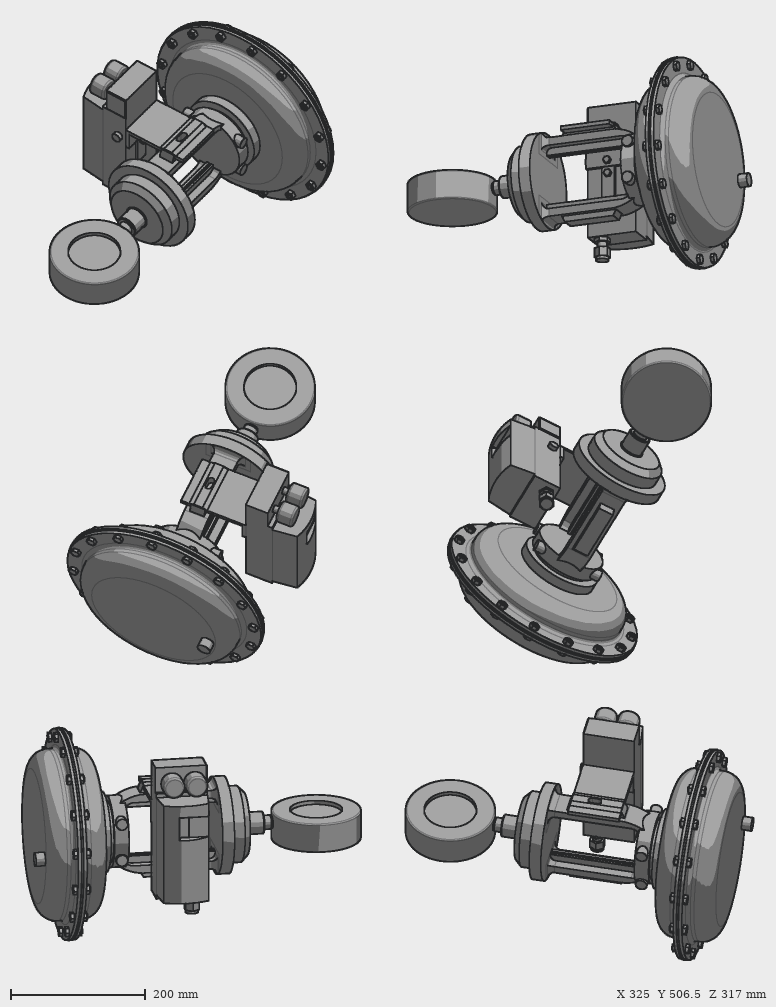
import cadquery as cq
import math


flange_radius = 158.5
casing_radius = 157.5
diaphragm_half = 1.5
flange_half = 6.5
dome_radius = 128.5
dome_end = 45.5
dome_round = 27.5
dome_flare = 6.0
stub_radius = 10.0
stub_length = 14.0
stub_x, stub_z = -88.0, -6.0

bolt_count = 16
bolt_circle_radius = 147.5
bolt_first_angle = -7.4
bolt_hex = 14.5
bolt_head_height = 5.0
nut_height = 6.0
stud_radius = 3.8
stud_reach = 1.5

neck_radius = 60.5
neck_end = -60.5
groove_radius = 46.5
ring_start = -67.0
ring_radius = 53.5
ring_end = -88.5
pin_radius = 8.5
pin_y = -78.0
pin_z = 28.5

leg_half_width = 19.5
leg_inner = 38.5
leg_ledge = 49.5
leg_outer = 62.0
rib_half_width = 6.0
rib_groove_half_width = 1.5
rib_groove_depth = 1.5
leg_straight_start = -111.5
outer_bend = (-98.5, 59.0)
outer_bend_end = 48.0
inner_bend = (-94.0, 47.5)
inner_bend_start = 43.5
inner_bend_end = -101.5
leg_flare = 8.5
foot_setback = 0.5
foot_depth = 12.5

pad_half_width = 11.5
lower_pad_height = 9.0
pad_slope = 5.5
overlap = 1.5
bracket_start, bracket_end = -117.5, -195.0
bracket_thickness = 6.0
bracket_top = 74.0
bracket_right = 28.0
bracket_bottom = 38.0
bead_height = 3.0
bead_half_base = 14.5
bead_half_top = 7.0
slot_length, slot_width = 20.0, 10.0
slot_y = -160.0
clip_end = -12.5
clip_thickness = 4.0
clip_width = 20.5
bracket_bolt_z = 47.0
clip_bolt_z = 27.5
bracket_bolt_hex = 11.0
wall_bolt_height = 5.5
clip_bolt_height = 3.0

lower_flange_radius = 73.0
lower_flange_start, lower_flange_end = -226.5, -244.5
bonnet_radius = 57.5
bonnet_end = -272.5
bonnet_chamfer = 9.5
stem_radius = 16.5
stem_end = -300.0
stem_edge = 1.5
spindle_radius = 10.5
spindle_end = -311.5
spindle_tip_radius = 9.0

dial_radius = 67.0
dial_y = -380.0
dial_z = -6.5
dial_thickness = 45.0
dial_edge = 2.0
dial_recess_radius = 39.0
dial_recess_depth = 6.0

body_left, body_right = -120.5, -77.5
body_start, body_end = -117.5, -194.5
body_bottom, body_top = -68.0, 97.5
cover_bottom, cover_top = -62.0, 91.0
cover_edge_x = -159.0
cover_apex_x = -166.5
cover_front_inset = 4.5
window_bottom, window_top = 39.5, 71.0
window_draft = 18
window_start, window_step, window_end = -146.0, -160.0, -190.0
window_step_depth = 2.0
manifold_left = -113.5
manifold_end = -195.5
manifold_top = 136.0
manifold_edge = 1.5
gauge_radius = 16.0
gauge_z = 114.5
gauge_y = (-140.0, -174.5)
gauge_left, gauge_right = -148.5, -123.0
gauge_edge = 3.0
gauge_stem_radius = 5.5
knob_x, knob_z = -91.0, 53.5
knob_radius = 7.0
knob_end = -201.5

gland_x, gland_y = -90.5, -176.5
gland_hex = 24.0
gland_neck_radius = 7.0
gland_tip_radius = 9.5
gland_collar_end, gland_neck_end, gland_nut_end, gland_tip_end = -74.0, -83.0, -97.5, -102.0


def box(x, y, z):
    """Box spanning the given pair of limits on each axis."""
    size = [abs(b - a) for a, b in (x, y, z)]
    centre = tuple((a + b) / 2 for a, b in (x, y, z))
    return cq.Workplane("XY").box(*size).translate(centre)


def rod_x(radius, x0, x1, y, z):
    return cq.Workplane("YZ", origin=(x0, y, z)).circle(radius).extrude(x1 - x0)


def rod_y(radius, y0, y1, x=0, z=0):
    return cq.Workplane("XZ", origin=(x, y0, z)).circle(radius).extrude(y0 - y1)


def hex_y(across_corners, y0, y1, x, z):
    return cq.Workplane("XZ", origin=(x, y0, z)).polygon(6, across_corners).extrude(y0 - y1)


def hex_x(across_corners, x0, x1, y, z):
    return cq.Workplane("YZ", origin=(x0, y, z)).polygon(6, across_corners).extrude(x1 - x0)


def actuator():
    """Double dome with a flared foot on each side of the clamped flange, turned about Y."""
    corner = 1 - math.sqrt(0.5)
    flare_radius = dome_radius + dome_flare
    flare_end = flange_half + dome_flare
    half = (
        cq.Workplane("XY")
        .lineTo(flange_radius, 0)
        .lineTo(flange_radius, diaphragm_half)
        .lineTo(casing_radius, diaphragm_half)
        .lineTo(casing_radius, flange_half)
        .lineTo(flare_radius, flange_half)
        .threePointArc(
            (dome_radius + corner * dome_flare, flange_half + corner * dome_flare),
            (dome_radius, flare_end),
        )
        .lineTo(dome_radius, dome_end - dome_round)
        .threePointArc(
            (dome_radius - corner * dome_round, dome_end - corner * dome_round),
            (dome_radius - dome_round, dome_end),
        )
        .lineTo(0, dome_end)
        .close()
        .revolve(360, (0, 0, 0), (0, 1, 0))
    )
    stub = rod_y(stub_radius, dome_end + stub_length, 0, stub_x, stub_z)
    return half.union(half.mirror("XZ")).union(stub)


def flange_bolt(angle):
    x = bolt_circle_radius * math.cos(math.radians(angle))
    z = bolt_circle_radius * math.sin(math.radians(angle))
    nut_end = -flange_half - nut_height
    head = hex_y(bolt_hex, flange_half + bolt_head_height, 0, x, z)
    nut = hex_y(bolt_hex, 0, nut_end, x, z)
    stud = rod_y(stud_radius, 0, nut_end - stud_reach, x, z)
    return head.union(nut).union(stud)


def clamp_neck():
    neck = rod_y(neck_radius, 0, neck_end)
    neck = neck.union(rod_y(groove_radius, neck_end, ring_start))
    neck = neck.union(rod_y(ring_radius, ring_start, ring_end))
    for z in (-pin_z, pin_z):
        neck = neck.union(rod_x(pin_radius, -ring_radius, ring_radius, pin_y, z))
    return neck


def leg(pad_height):
    """Leg at +Z: a T-section that bends outward past the ring, with a mounting pad on its outer face."""
    slab = (
        cq.Workplane("YZ")
        .moveTo(lower_flange_start, leg_ledge)
        .lineTo(lower_flange_start, leg_outer)
        .lineTo(leg_straight_start, leg_outer)
        .threePointArc(outer_bend, (pin_y, outer_bend_end))
        .lineTo(pin_y, leg_inner)
        .lineTo(ring_end, inner_bend_start)
        .threePointArc(inner_bend, (inner_bend_end, leg_ledge))
        .close()
        .extrude(leg_half_width, both=True)
    )
    rib = box(
        (-rib_half_width, rib_half_width), (ring_end, lower_flange_start), (leg_inner, leg_ledge + overlap)
    )
    groove = box(
        (-rib_groove_half_width, rib_groove_half_width),
        (ring_end, lower_flange_start),
        (leg_inner, leg_inner + rib_groove_depth),
    )
    rib = rib.cut(groove)
    pad_base = leg_outer - overlap
    pad = (
        cq.Workplane("YZ")
        .moveTo(bracket_start + pad_slope, pad_base)
        .lineTo(bracket_start, leg_outer + pad_height)
        .lineTo(bracket_end, leg_outer + pad_height)
        .lineTo(bracket_end - pad_slope, pad_base)
        .close()
        .extrude(pad_half_width, both=True)
    )
    return slab.union(rib).union(pad).union(leg_foot())


def leg_foot():
    """Rounded flare where a leg meets the lower flange, trimmed to the flange's outline."""
    foot_base = lower_flange_start - foot_depth
    reach = leg_half_width + 2 * leg_flare
    base = box(
        (-reach, reach),
        (lower_flange_start, foot_base),
        (leg_ledge - 2 * leg_flare, leg_outer + 2 * leg_flare),
    )
    root = box(
        (-leg_half_width, leg_half_width),
        (lower_flange_start + 2 * leg_flare, foot_base),
        (leg_ledge, leg_outer),
    )
    corner = (leg_half_width + overlap, lower_flange_start + overlap, leg_outer + overlap)
    opposite = (-leg_half_width - overlap, lower_flange_start - overlap, leg_ledge - overlap)
    edges = cq.selectors.BoxSelector(corner, opposite)
    foot = base.union(root).edges(edges).fillet(leg_flare)
    return foot.intersect(rod_y(lower_flange_radius - foot_setback, ring_end, lower_flange_end))


def yoke():
    lower_leg = leg(lower_pad_height).mirror("XY")
    return leg(bracket_top - leg_outer).union(lower_leg)


def bonnet_and_stem():
    flange = rod_y(lower_flange_radius, lower_flange_start, lower_flange_end)
    bonnet = rod_y(bonnet_radius, lower_flange_end, bonnet_end).faces("<Y").chamfer(bonnet_chamfer)
    stem = rod_y(stem_radius, bonnet_end, stem_end).faces("<Y").chamfer(stem_edge)
    collar = rod_y(stem_radius + stem_edge, bonnet_end, bonnet_end - stem_edge)
    spindle = rod_y(spindle_radius, stem_end, spindle_end)
    tip = rod_y(spindle_tip_radius, spindle_end, dial_y)
    return flange.union(bonnet).union(stem).union(collar).union(spindle).union(tip)


def dial_gauge():
    dial = (
        cq.Workplane("XY", origin=(0, dial_y, dial_z - dial_thickness / 2))
        .circle(dial_radius)
        .extrude(dial_thickness)
        .edges()
        .fillet(dial_edge)
    )
    return dial.faces(">Z").workplane().circle(dial_recess_radius).cutBlind(-dial_recess_depth)


def bracket():
    """Angle plate over the upper pad with a raised bead, an adjusting slot and a hanging clip."""
    across = (body_right, body_right + bracket_thickness)
    along = (bracket_start, bracket_end)
    plate = box((body_right, bracket_right), along, (bracket_top - bracket_thickness, bracket_top))
    wall = box(across, along, (bracket_bottom, bracket_top))
    bead = (
        cq.Workplane("XZ", origin=(0, bracket_start, 0))
        .moveTo(-bead_half_base, bracket_top)
        .lineTo(-bead_half_top, bracket_top + bead_height)
        .lineTo(bead_half_top, bracket_top + bead_height)
        .lineTo(bead_half_base, bracket_top)
        .close()
        .extrude(bracket_start - bracket_end)
    )
    clip_y = (slot_y - clip_width / 2, slot_y + clip_width / 2)
    clip = box((body_right, body_right + clip_thickness), clip_y, (clip_end, bracket_bottom))
    wall_bolt = hex_x(bracket_bolt_hex, body_right, across[1] + wall_bolt_height, slot_y, bracket_bolt_z)
    clip_bolt = hex_x(bracket_bolt_hex, body_right, across[1] + clip_bolt_height, slot_y, clip_bolt_z)
    return plate.union(wall).union(bead).union(clip).union(wall_bolt).union(clip_bolt)


def adjusting_slot():
    height = bracket_top + bead_height - leg_outer
    return (
        cq.Workplane("XY", origin=(0, slot_y, leg_outer))
        .slot2D(slot_length, slot_width, 90)
        .extrude(height)
    )


def cover_window():
    """Cutter for a flat-floored window with walls leaning outward, and a shallow step in its floor."""
    centre_z = (window_bottom + window_top) / 2
    step_floor = cover_edge_x + window_step_depth
    opening = (
        cq.Workplane("YZ", origin=(cover_edge_x, (window_start + window_end) / 2, centre_z))
        .rect(window_start - window_end, window_top - window_bottom)
        .extrude(cover_apex_x - cover_edge_x, taper=-window_draft)
    )
    step = box(
        (cover_apex_x, step_floor), (window_start, window_step), (window_bottom, window_top)
    )
    return opening.union(step)


def cover():
    """Bowed front cover whose sides taper in, with a flat-floored window open to the -Y side."""
    middle_y = (body_start + body_end) / 2
    shell = (
        cq.Workplane("XY", origin=(0, 0, cover_bottom))
        .moveTo(body_left, body_start)
        .lineTo(cover_edge_x, body_start - cover_front_inset)
        .threePointArc((cover_apex_x, middle_y), (cover_edge_x, body_end + cover_front_inset))
        .lineTo(body_left, body_end)
        .close()
        .extrude(cover_top - cover_bottom)
    )
    return shell.cut(cover_window())


def pressure_gauge(y):
    case = rod_x(gauge_radius, gauge_left, gauge_right, y, gauge_z).edges().fillet(gauge_edge)
    return case.union(rod_x(gauge_stem_radius, gauge_right, manifold_left, y, gauge_z))


def positioner():
    body = box((body_left, body_right), (body_start, body_end), (body_bottom, body_top))
    manifold = box((manifold_left, body_right), (body_start, manifold_end), (body_top, manifold_top))
    manifold = manifold.faces("<Y").chamfer(manifold_edge)
    knob = rod_y(knob_radius, body_end, knob_end, knob_x, knob_z)
    unit = body.union(manifold).union(cover()).union(knob)
    for y in gauge_y:
        unit = unit.union(pressure_gauge(y))
    return unit


def cable_gland():
    gland = (
        cq.Workplane("XY", origin=(gland_x, gland_y, body_bottom))
        .polygon(6, gland_hex)
        .extrude(gland_collar_end - body_bottom)
    )
    neck = gland.faces("<Z").workplane().circle(gland_neck_radius)
    gland = neck.extrude(gland_collar_end - gland_neck_end)
    nut = gland.faces("<Z").workplane().polygon(6, gland_hex)
    gland = nut.extrude(gland_neck_end - gland_nut_end)
    tip = gland.faces("<Z").workplane().circle(gland_tip_radius)
    return tip.extrude(gland_nut_end - gland_tip_end)


valve = actuator()
for index in range(bolt_count):
    valve = valve.union(flange_bolt(bolt_first_angle + index * 360 / bolt_count))
for section in (clamp_neck(), yoke(), bonnet_and_stem(), dial_gauge()):
    valve = valve.union(section)
for section in (bracket(), positioner(), cable_gland()):
    valve = valve.union(section)
result = valve.cut(adjusting_slot())